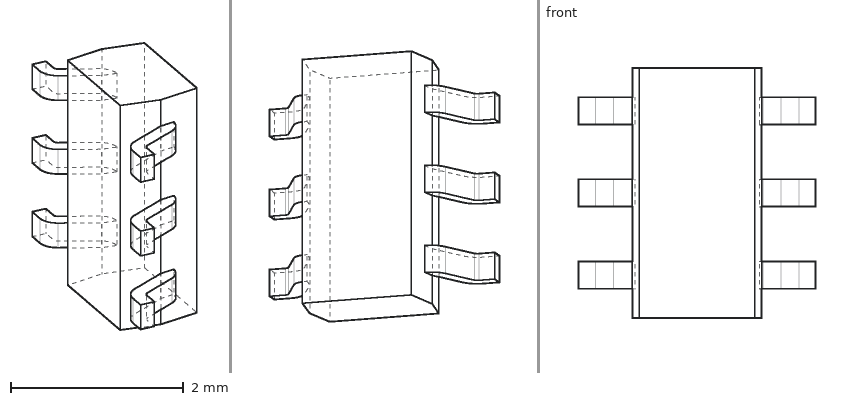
import cadquery as cq
import math

package_length = 2.9
package_thickness = 1.0
waist_width = 1.5
face_width = 1.335
standoff = 0.1
waist_height = 0.487

lead_span = 2.75
lead_height = 0.768
lead_thickness = 0.18
lead_width = 0.32
lead_pitch = 0.95
leads_per_side = 3
foot_length = 0.195
inner_radius = 0.052
outer_radius = inner_radius + lead_thickness
bend_angle = math.radians(64)
root_depth = 0.115


def make_package():
    bottom = standoff
    waist = standoff + waist_height
    top = standoff + package_thickness
    return (
        cq.Workplane("XY", origin=(0, 0, -package_length / 2))
        .moveTo(-face_width / 2, bottom)
        .lineTo(face_width / 2, bottom)
        .lineTo(waist_width / 2, waist)
        .lineTo(face_width / 2, top)
        .lineTo(-face_width / 2, top)
        .lineTo(-waist_width / 2, waist)
        .close()
        .extrude(package_length)
    )


def arc_point(center, radius, angle):
    """Point on a bend, with the angle measured from the -Y direction towards -X."""
    x, y = center
    return (x - radius * math.sin(angle), y - radius * math.cos(angle))


def make_lead(package, side, z_center):
    """One lead, drawn on the +X side, mirrored if side is -1 and trimmed flush with the package."""
    tip_x = lead_span / 2
    foot_end_x = tip_x - foot_length
    foot_bend = (foot_end_x, outer_radius)

    bend_radius_sum = inner_radius + outer_radius
    shank_rise = lead_height - lead_thickness - bend_radius_sum * (1 - math.cos(bend_angle))
    shank_run = shank_rise / math.tan(bend_angle)
    shoulder_x = foot_end_x - shank_run - bend_radius_sum * math.sin(bend_angle)
    shoulder_bend = (shoulder_x, lead_height - outer_radius)
    root_x = shoulder_x - root_depth

    half_angle = bend_angle / 2
    shoulder_start = bend_angle + math.pi
    shoulder_middle = half_angle + math.pi

    blank = (
        cq.Workplane("XY", origin=(0, 0, z_center - lead_width / 2))
        .moveTo(tip_x, 0)
        .lineTo(foot_end_x, 0)
        .threePointArc(
            arc_point(foot_bend, outer_radius, half_angle),
            arc_point(foot_bend, outer_radius, bend_angle),
        )
        .lineTo(*arc_point(shoulder_bend, inner_radius, shoulder_start))
        .threePointArc(
            arc_point(shoulder_bend, inner_radius, shoulder_middle),
            (shoulder_x, lead_height - lead_thickness),
        )
        .lineTo(root_x, lead_height - lead_thickness)
        .lineTo(root_x, lead_height)
        .lineTo(shoulder_x, lead_height)
        .threePointArc(
            arc_point(shoulder_bend, outer_radius, shoulder_middle),
            arc_point(shoulder_bend, outer_radius, shoulder_start),
        )
        .lineTo(*arc_point(foot_bend, inner_radius, bend_angle))
        .threePointArc(
            arc_point(foot_bend, inner_radius, half_angle),
            (foot_end_x, lead_thickness),
        )
        .lineTo(tip_x, lead_thickness)
        .close()
        .extrude(lead_width)
    )
    if side < 0:
        blank = blank.mirror("YZ")
    return blank.cut(package)


package = make_package()

leads = []
for side in (-1, 1):
    for index in range(leads_per_side):
        z_center = (index - (leads_per_side - 1) / 2) * lead_pitch
        leads.extend(make_lead(package, side, z_center).solids().vals())

result = cq.Compound.makeCompound([package.val(), *leads])